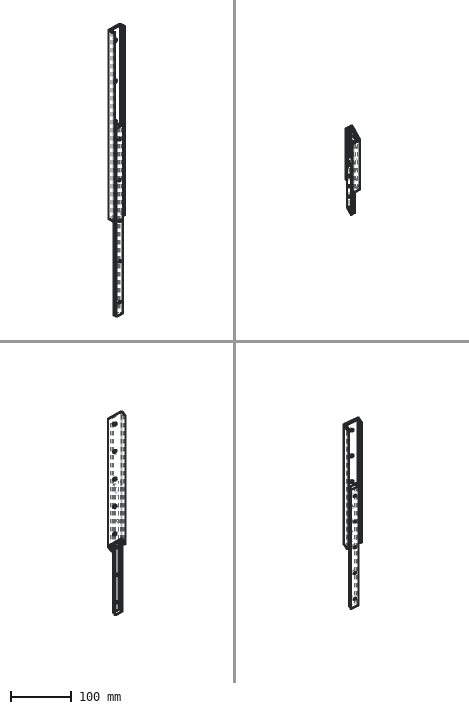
import cadquery as cq

member_length = 370.0
stroke = 190.0
rail_width = 28.0
rail_depth = 12.3
assembly_depth = 13.0

web_thickness = 3.3
rail_channel_half_width = 10.2
corner_radius = 1.0

raceway_radius = 2.4
raceway_x = 8.9
raceway_y = 8.75

slider_width = 14.5
slider_back = 5.8
slider_channel_depth = 1.0
slider_channel_mouth = 8.0
slider_channel_floor = 5.1

hole_pitch = 80.0
hole_end_distance = 25.0
hole_count = 5
rail_hole_diameter = 6.0
slider_hole_diameter = 4.2


def mounting_holes(base_z, diameter):
    """Row of hole cutters along X for a member that starts at base_z."""
    heights = [base_z + hole_end_distance + i * hole_pitch for i in range(hole_count)]
    return (
        cq.Workplane("YZ")
        .pushPoints([(0, z) for z in heights])
        .circle(diameter / 2)
        .extrude(assembly_depth)
    )


def raceways(base_z):
    """Pair of round grooves along Z in which the balls run."""
    return (
        cq.Workplane("XY", origin=(0, 0, base_z))
        .pushPoints([(raceway_x, side * raceway_y) for side in (-1, 1)])
        .circle(raceway_radius)
        .extrude(member_length)
    )


def make_rail():
    """C-shaped outer rail, open toward +X."""
    body = (
        cq.Workplane("XY", origin=(0, 0, stroke))
        .box(rail_depth, rail_width, member_length, centered=(False, True, False))
        .edges("|Z")
        .fillet(corner_radius)
    )
    channel = (
        cq.Workplane("XY", origin=(web_thickness, 0, stroke))
        .box(rail_depth, 2 * rail_channel_half_width, member_length, centered=(False, True, False))
    )
    return body.cut(channel).cut(raceways(stroke)).cut(mounting_holes(stroke, rail_hole_diameter))


def make_slider():
    """Inner slider with a tapered channel in its back and a raceway on each side."""
    body = (
        cq.Workplane("XY")
        .box(assembly_depth - slider_back, slider_width, member_length, centered=(False, True, False))
        .translate((slider_back, 0, 0))
    )
    channel_bottom = slider_back + slider_channel_depth
    channel = (
        cq.Workplane("XY")
        .polyline([
            (slider_back, -slider_channel_mouth / 2),
            (channel_bottom, -slider_channel_floor / 2),
            (channel_bottom, slider_channel_floor / 2),
            (slider_back, slider_channel_mouth / 2),
        ])
        .close()
        .extrude(member_length)
    )
    return body.cut(channel).cut(raceways(0)).cut(mounting_holes(0, slider_hole_diameter))


rail = make_rail()
slider = make_slider()
result = cq.Compound.makeCompound([rail.val(), slider.val()])